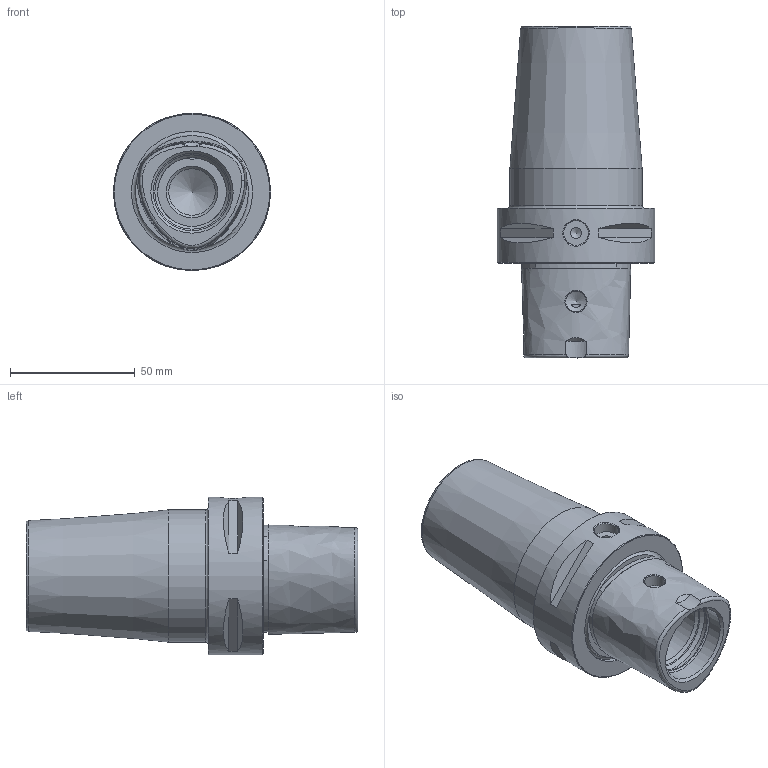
import cadquery as cq
import math


flange_diameter = 63.0
flange_width = 22.0
flange_chamfer = 0.3
neck_diameter = 53.0
neck_fillet = 1.0
neck_end = 38.0
nose_end = 95.0
nose_diameter = 44.4
nose_chamfer_length = 0.8
nose_chamfer_width = 0.3

shank_length = 38.0
shank_width = 44.0
lobe_eccentricity = 1.5
shank_taper = 1 / 20
curve_points = 48
shank_end_fillet = 1.2

relief_outer_radius = 24.3
relief_inner_radius = 22.6
relief_length = 2.0
neck_step = 0.15

mouth_radius = 15.5
mouth_chamfer = 1.0
mouth_depth = 7.2
lip_radius = 14.9
lip_length = 1.0
groove_radius = 16.2
groove_length = 2.5
bore_radius = 13.8
bore_start = 13.7
bore_depth = 21.5
drill_radius = 9.3
drill_chamfer = 1.1
drill_depth = 45.0
drill_point_angle = 118.0

slot_position = 12.0
slot_floor_distance = 27.8
slot_floor_width = 3.6
slot_flank_angle = 30.0
slot_angles = (45, 135, 225, 315)

chip_radius = 4.95
chip_depth = 4.5
chip_hole_radius = 2.2
chip_hole_depth = 3.0
rim_chamfer = 0.35

radial_hole_position = -15.4
radial_hole_radius = 4.1
radial_hole_floor = 14.8
notch_radius = 7.6
notch_floor = 18.2
notch_length = 6.6

cut_margin = 1.0


def drill_tip(radius):
    return radius / math.tan(math.radians(drill_point_angle / 2))


def revolve_about_y(profile):
    return profile.close().revolve(360, (0, 0, 0), (0, 1, 0))


def make_body():
    flange_radius = flange_diameter / 2
    neck_radius = neck_diameter / 2
    nose_radius = nose_diameter / 2
    profile = (
        cq.Workplane("XY")
        .lineTo(flange_radius - flange_chamfer, 0)
        .lineTo(flange_radius, flange_chamfer)
        .lineTo(flange_radius, flange_width)
        .lineTo(neck_radius + neck_fillet, flange_width)
        .radiusArc((neck_radius, flange_width + neck_fillet), neck_fillet)
        .lineTo(neck_radius, neck_end)
        .lineTo(nose_radius, nose_end - nose_chamfer_length)
        .lineTo(nose_radius - nose_chamfer_width, nose_end)
        .lineTo(0, nose_end)
    )
    return revolve_about_y(profile)


def lobed_wire(width, y):
    """Constant-width three-lobed curve with one lobe pointing to -Z."""

    def point(t):
        angle = 2 * math.pi * t
        support = width / 2 + lobe_eccentricity * math.sin(3 * angle)
        slope = 3 * lobe_eccentricity * math.cos(3 * angle)
        x = support * math.cos(angle) - slope * math.sin(angle)
        z = support * math.sin(angle) + slope * math.cos(angle)
        return (x, y, z)

    points = [cq.Vector(point(i / curve_points)) for i in range(curve_points)]
    return cq.Wire.assembleEdges([cq.Edge.makeSpline(points, periodic=True)])


def lobed_taper(inset, y_start, y_end):
    """Tapered lobed solid, its surface set in from the shank surface by the inset."""
    wires = [
        lobed_wire(shank_width + shank_taper * y - 2 * inset, y)
        for y in (y_start, y_end)
    ]
    return cq.Workplane("XY").add(cq.Solid.makeLoft(wires, True))


def make_shank():
    shank = lobed_taper(0, -relief_length, -shank_length)
    shank = shank.faces("<Y").edges().fillet(shank_end_fillet)
    neck = lobed_taper(neck_step, 0, -relief_length)
    return shank.union(neck)


def make_relief():
    """Ring that trims the lobes and cuts a round-bottomed groove into the contact face."""
    relief_depth = relief_outer_radius - relief_inner_radius
    profile = (
        cq.Workplane("XY")
        .moveTo(relief_inner_radius, -relief_length)
        .lineTo(relief_outer_radius, -relief_length)
        .lineTo(relief_outer_radius, relief_depth)
        .radiusArc((relief_inner_radius, 0), -relief_depth)
    )
    return revolve_about_y(profile)


def make_bore():
    start = -shank_length
    mouth_end = start + mouth_depth
    lip_cone = mouth_radius - lip_radius
    groove_start = mouth_end + lip_length
    groove_end = groove_start + groove_length
    bore_cone = lip_radius - bore_radius
    bore_end = start + bore_depth
    drill_end = start + drill_depth
    profile = (
        cq.Workplane("XY")
        .moveTo(0, start)
        .lineTo(mouth_radius + mouth_chamfer, start)
        .lineTo(mouth_radius, start + mouth_chamfer)
        .lineTo(mouth_radius, mouth_end)
        .lineTo(lip_radius, mouth_end + lip_cone)
        .lineTo(lip_radius, groove_start)
        .lineTo(groove_radius, groove_start)
        .lineTo(groove_radius, groove_end)
        .lineTo(lip_radius, groove_end + groove_radius - lip_radius)
        .lineTo(lip_radius, start + bore_start - bore_cone)
        .lineTo(bore_radius, start + bore_start)
        .lineTo(bore_radius, bore_end)
        .lineTo(drill_radius + drill_chamfer, bore_end)
        .lineTo(drill_radius, bore_end + drill_chamfer)
        .lineTo(drill_radius, drill_end)
        .lineTo(0, drill_end + drill_tip(drill_radius))
    )
    return revolve_about_y(profile)


def make_slot(angle):
    top = flange_diameter / 2 + cut_margin
    flare = (top - slot_floor_distance) * math.tan(math.radians(slot_flank_angle))
    half_floor = slot_floor_width / 2
    half_top = half_floor + flare
    slot = (
        cq.Workplane("XY")
        .polyline([
            (slot_floor_distance, slot_position - half_floor),
            (top, slot_position - half_top),
            (top, slot_position + half_top),
            (slot_floor_distance, slot_position + half_floor),
        ])
        .close()
        .extrude(flange_diameter / 2, both=True)
    )
    return slot.rotate((0, 0, 0), (0, 1, 0), angle)


def drilled_hole(y, radius, floor, top):
    """Hole along Z with a conical bottom below the given floor height."""
    profile = (
        cq.Workplane("XZ")
        .moveTo(0, top)
        .lineTo(radius, top)
        .lineTo(radius, floor)
        .lineTo(0, floor - drill_tip(radius))
        .close()
    )
    return profile.revolve(360, (0, 0, 0), (0, 1, 0)).translate((0, y, 0))


def make_chip_pocket():
    top = flange_diameter / 2 + cut_margin
    floor = flange_diameter / 2 - chip_depth
    pocket = (
        cq.Workplane("XY", origin=(0, slot_position, floor))
        .circle(chip_radius)
        .extrude(top - floor)
    )
    hole = drilled_hole(slot_position, chip_hole_radius, floor - chip_hole_depth, floor)
    return pocket.union(hole)


def make_notch():
    """Round-bottomed notch along Y with a 45 degree conical end."""
    profile = (
        cq.Workplane("XY")
        .moveTo(0, -shank_length - cut_margin)
        .lineTo(notch_radius, -shank_length - cut_margin)
        .lineTo(notch_radius, -shank_length + notch_length)
        .lineTo(0, -shank_length + notch_length + notch_radius)
    )
    return revolve_about_y(profile).translate((0, 0, notch_floor + notch_radius))


def chamfer_rim(solid, y, radius, z_low, z_high):
    """Break the edge where a hole along Z meets the outside surface."""
    reach = radius + cut_margin
    rim = cq.selectors.BoxSelector((-reach, y - reach, z_low), (reach, y + reach, z_high), True)
    return solid.edges(rim).chamfer(rim_chamfer)


result = make_body().union(make_shank())
result = result.cut(make_relief()).cut(make_bore()).cut(make_notch())
for slot_angle in slot_angles:
    result = result.cut(make_slot(slot_angle))

flange_top = flange_diameter / 2
result = result.cut(make_chip_pocket())
result = chamfer_rim(
    result, slot_position, chip_radius, flange_top - cut_margin, flange_top + cut_margin
)

shank_top = shank_width / 2
result = result.cut(
    drilled_hole(radial_hole_position, radial_hole_radius, radial_hole_floor, shank_top)
)
result = chamfer_rim(
    result, radial_hole_position, radial_hole_radius, mouth_radius + cut_margin, shank_top
)